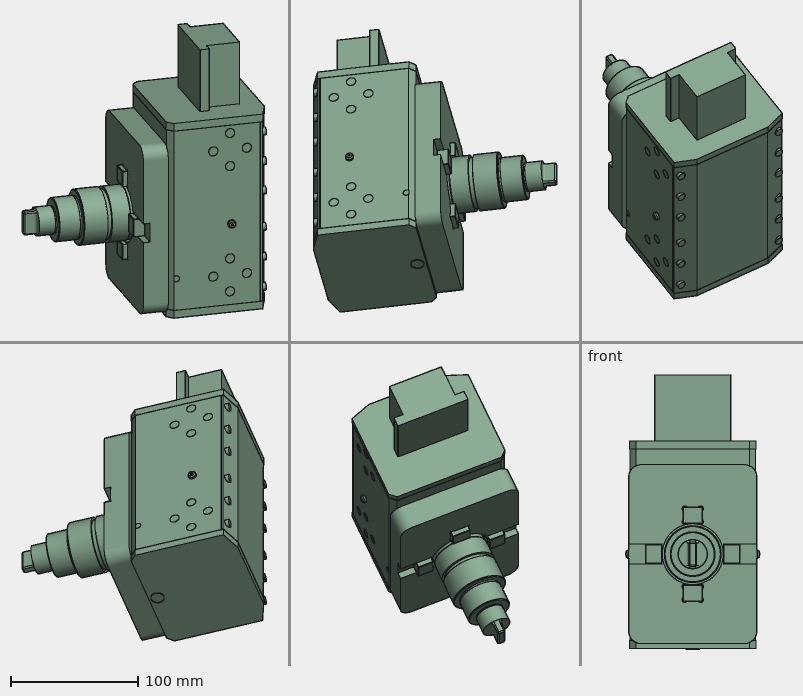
import cadquery as cq

housing_width = 99.3
housing_depth = 84.2
housing_top = 89.0
housing_bottom = -74.0
cap_thickness = 6.5
front_chamfer = 5.0
back_chamfer_x = 17.0
back_chamfer_y = 6.5
core_inset = 0.2
seam_from_chamfer = 1.7
seam_width = 0.5
mark_depth = 0.2

total_height = 215.3
foot_height = 0.6
post_top = housing_bottom - foot_height + total_height
stem_width = 44.4
post_back = housing_depth - 17.0
rail_width = 59.9
rail_thickness = 7.8
rail_front = housing_depth - 52.0
rail_chamfer = 0.5

foot_diameter = 10.5
foot_y = 7.0

flange_width = 100.8
flange_height = 140.5
flange_thickness = 20.5
flange_radius = 10.0

key_width = 15.0
key_inner = 24.1
key_outer = 37.0
key_rise = 4.0
key_chamfer = 0.5
seat_depth = 5.4
slot_width = 15.7
recess_diameter = 47.8
relief_diameter = 4.3
relief_inset = 1.3

spindle_length = 83.5
main_diameter = 44.5
neck_diameter = 43.5
main_start = 1.3
groove_diameter = 40.3
groove_start = 16.8
groove_end = 20.2
main_end = 40.0
middle_diameter = 35.0
middle_end = 59.0
tip_diameter = 23.0
tip_end = 73.2
root_relief = 0.2
middle_relief_length = 1.5
tip_relief_length = 1.0
spindle_chamfer = 0.6

tongue_thickness = 6.2
tongue_height = 19.2
tongue_chamfer = 1.0
tongue_root_radius = 2.2

group_y = 51.0
group_heights = (62.0, -42.9)
group_offset = 13.8
ring_diameter = 7.5
corner_ring_y = 6.9
corner_ring_z = -41.3
corner_ring_diameter = 5.2
button_y = 52.1
button_diameter = 6.5
button_rim = 1.3
button_rise = 2.5
button_top_diameter = 4.7
button_pin_diameter = 1.7
overall_width = 105.5

screw_diameter = 6.5
screw_x = 44.5
screw_end = housing_depth - 2.8
screw_length = 6.5
screw_heights = (72.5, 47.8, 23.3, -7.0, -32.0, -57.3)


def housing_block(inset, bottom, top):
    """Prism with small front corner chamfers and long shallow back ones."""
    half = housing_width / 2 - inset
    front = inset
    back = housing_depth - inset
    outline = [
        (half - front_chamfer, front),
        (half, front + front_chamfer),
        (half, back - back_chamfer_y),
        (half - back_chamfer_x, back),
    ]
    outline += [(-x, y) for x, y in reversed(outline)]
    return cq.Workplane("XY").workplane(offset=bottom).polyline(outline).close().extrude(top - bottom)


def box(x_range, y_range, z_range):
    ranges = (x_range, y_range, z_range)
    size = [high - low for low, high in ranges]
    return cq.Workplane("XY").box(*size, centered=False).translate([low for low, _ in ranges])


def side_cylinder(side, diameter, y, z, start, end):
    """Cylinder along X, on the left (side=-1) or right (side=1)."""
    axis = cq.Vector(side, 0, 0)
    base = cq.Vector(side * start, y, z)
    return cq.Workplane(cq.Solid.makeCylinder(diameter / 2, end - start, base, axis))


def make_housing():
    core_bottom = housing_bottom + cap_thickness
    core_top = housing_top - cap_thickness
    core = housing_block(core_inset, core_bottom, core_top)
    face_x = housing_width / 2 - core_inset
    seam_y = housing_depth - back_chamfer_y - seam_from_chamfer
    ring_places = [(corner_ring_diameter, corner_ring_y, corner_ring_z)]
    for z in group_heights:
        for dy, dz in ((group_offset, 0), (-group_offset, 0), (0, group_offset), (0, -group_offset)):
            ring_places.append((ring_diameter, group_y + dy, z + dz))
    for side in (-1, 1):
        seam_x = sorted((side * (face_x - mark_depth), side * face_x))
        core = core.cut(box(seam_x, (seam_y - seam_width, seam_y), (core_bottom, core_top)))
        for diameter, y, z in ring_places:
            core = core.cut(side_cylinder(side, diameter, y, z, face_x - mark_depth, face_x))
    bottom_cap = housing_block(0, housing_bottom, core_bottom)
    top_cap = housing_block(0, core_top, housing_top)
    foot = (
        cq.Workplane("XY").workplane(offset=housing_bottom)
        .center(0, foot_y).circle(foot_diameter / 2).extrude(-foot_height)
    )
    return core.union(bottom_cap).union(top_cap).union(foot)


def make_post():
    heights = (housing_top, post_top)
    rail_back = rail_front + rail_thickness
    stem = box((-stem_width / 2, stem_width / 2), (rail_front, post_back), heights)
    rail = box((-rail_width / 2, rail_width / 2), (rail_front, rail_back), heights)
    return stem.union(rail.edges("|Z").chamfer(rail_chamfer))


def make_flange():
    plate = (
        cq.Workplane("XZ").rect(flange_width, flange_height).extrude(flange_thickness)
        .edges("|Y").fillet(flange_radius)
    )
    seat_range = (-flange_thickness, -flange_thickness + seat_depth)
    for side in (-1, 1):
        slot_x = sorted((side * key_inner, side * flange_width / 2))
        plate = plate.cut(box(slot_x, seat_range, (-slot_width / 2, slot_width / 2)))
    relief_x = key_width / 2 - relief_inset
    relief_z = (key_inner + relief_inset, key_outer - relief_inset)
    reliefs = [(x, side * z) for x in (-relief_x, relief_x) for z in relief_z for side in (-1, 1)]
    spindle_seat = cq.Workplane("XZ", origin=(0, -flange_thickness, 0))
    plate = plate.cut(spindle_seat.circle(recess_diameter / 2).extrude(-seat_depth))
    return plate.cut(
        spindle_seat.pushPoints(reliefs).circle(relief_diameter / 2).extrude(-seat_depth)
    )


def make_key(angle):
    y_range = (-flange_thickness - key_rise, -flange_thickness + seat_depth)
    key = box((-key_width / 2, key_width / 2), y_range, (key_inner, key_outer))
    key = key.edges("<Y or >Z").chamfer(key_chamfer)
    return key.rotate((0, 0, 0), (0, 1, 0), angle)


def make_spindle():
    sections = [
        (neck_diameter, -seat_depth, main_start),
        (main_diameter, main_start, groove_start),
        (groove_diameter, groove_start, groove_end),
        (main_diameter, groove_end, main_end),
        (middle_diameter - 2 * root_relief, main_end, main_end + middle_relief_length),
        (middle_diameter, main_end + middle_relief_length, middle_end),
        (tip_diameter - 2 * root_relief, middle_end, middle_end + tip_relief_length),
        (tip_diameter, middle_end + tip_relief_length, tip_end),
    ]
    spindle = make_tongue()
    for diameter, start, end in sections:
        section = cq.Workplane("XZ").workplane(offset=start).circle(diameter / 2).extrude(end - start)
        if start == main_start:
            section = section.faces(">Y").chamfer(spindle_chamfer)
        if end in (main_end, middle_end):
            section = section.faces("<Y").chamfer(spindle_chamfer)
        spindle = spindle.union(section)
    return spindle.translate((0, -flange_thickness, 0))


def make_tongue():
    """Flat tongue with a root fillet that runs out at the spindle surface."""
    half_thickness = tongue_thickness / 2
    half_height = tongue_height / 2
    blade = box(
        (-half_thickness, half_thickness), (-spindle_length, -tip_end), (-half_height, half_height)
    )
    blade = blade.edges("<Y or |Y").chamfer(tongue_chamfer)
    root_disc = cq.Workplane("XZ").workplane(offset=middle_end).circle(tip_diameter).extrude(tip_end - middle_end)
    root_box = cq.selectors.BoxSelector(
        (-tongue_thickness, -tip_end - 0.2, -tongue_height), (tongue_thickness, -tip_end + 0.2, tongue_height)
    )
    tongue = root_disc.union(blade).edges(root_box).fillet(tongue_root_radius)
    envelope = (
        cq.Workplane("XZ").workplane(offset=middle_end + tip_relief_length)
        .circle(tip_diameter / 2).extrude(spindle_length - middle_end)
    )
    return tongue.intersect(envelope)


def make_button(side):
    """Stepped cap with a tapered crown and a fine centre pin."""
    base = housing_width / 2 - core_inset - mark_depth
    rim = housing_width / 2 + button_rim
    crown = housing_width / 2 + button_rise
    profile = [
        (base, 0),
        (base, button_diameter / 2),
        (rim, button_diameter / 2),
        (crown, button_top_diameter / 2),
        (crown, button_pin_diameter / 2),
        (overall_width / 2, button_pin_diameter / 2),
        (overall_width / 2, 0),
    ]
    button = cq.Workplane("XY").polyline(profile).close().revolve(360, (0, 0, 0), (1, 0, 0))
    if side < 0:
        button = button.mirror("YZ")
    return button.translate((0, button_y, 0))


def make_screws():
    places = [(x, z) for x in (-screw_x, screw_x) for z in screw_heights]
    return (
        cq.Workplane("XZ", origin=(0, screw_end, 0))
        .pushPoints(places).circle(screw_diameter / 2).extrude(screw_length)
    )


result = make_housing().union(make_post()).union(make_flange()).union(make_spindle()).union(make_screws())
for key_angle in (0, 90, 180, 270):
    result = result.union(make_key(key_angle))
for button_side in (-1, 1):
    result = result.union(make_button(button_side))